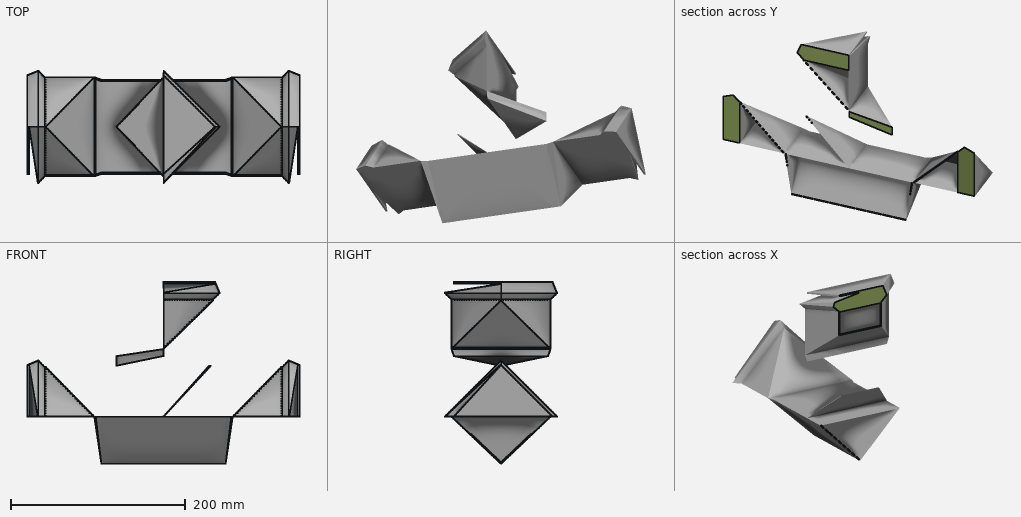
import cadquery as cq
import math

run_half_length = 156.0
socket_height = 56.8
bead_height = 64.3
mouth_height = 59.0
trough_height = 54.0

socket_wall = 2.2
trough_wall = 2.0
skin = 0.3

wedge_start = 79.2
wedge_end = 134.8
bead_start = 136.0
bead_peak = 143.2
lip_thickness = 2.2
lip_back = run_half_length - lip_thickness
gap_depth_at_edge = 10.0

trough_half_length = 71.0
taper_length = wedge_start - trough_half_length
branch_top = 154.0
branch_drop = run_half_length - branch_top
stub_top = wedge_start - branch_drop
stub_crease = stub_top - taper_length
tip_height = 58.0
hinge_size = 0.3

tolerance = 3.12e-06


def hull_face(points, a, b, c):
    """Outline of the hull face through a, b and c, or None if they lie inside the hull."""
    normal = (b - a).cross(c - a)
    if normal.Length < tolerance:
        return None
    normal = normal.normalized()
    sides = [(p - a).dot(normal) for p in points]
    if max(sides) > tolerance:
        return None
    outline = [p for p, side in zip(points, sides) if side > -tolerance]
    middle = sum(outline, cq.Vector()) * (1 / len(outline))
    across = (outline[0] - middle).normalized()
    along = normal.cross(across)
    return sorted(outline, key=lambda p: math.atan2((p - middle).dot(along), (p - middle).dot(across)))


def hull(coordinates):
    """Convex solid whose corners are the given points."""
    points = [cq.Vector(*xyz) for xyz in coordinates]
    outlines = {}
    for a in points:
        for b in points:
            for c in points:
                outline = hull_face(points, a, b, c)
                if outline:
                    outlines[frozenset(p.toTuple() for p in outline)] = outline
    faces = [cq.Face.makeFromWires(cq.Wire.makePolygon(o, close=True)) for o in outlines.values()]
    return cq.Solid.makeSolid(cq.Shell.makeShell(faces)).fix()


def section(x, height, base=0.0):
    """Corners of a triangular section across the run, ridge on the +Z side for a positive height."""
    half_width = abs(height)
    return [(x, -half_width, base), (x, half_width, base), (x, 0, base + height)]


def base_edge(x, half_width, z=0.0):
    return [(x, -half_width, z), (x, half_width, z)]


def hinge(z):
    """Thin strip along the Y axis at height z."""
    return cq.Workplane().box(hinge_size, 2 * trough_height, hinge_size).translate((0, 0, z)).val()


def make_wedge(start, height, base=0.0):
    """Prism that rises from an edge on its base to a full triangular section."""
    return hull(base_edge(start, height, base) + section(wedge_end, height, base))


def make_lip_gap():
    """Slot behind the lip, closed at y = 0 and opening toward -Y."""
    reach = 2 * bead_height
    depth = 2 * gap_depth_at_edge
    outline = [(lip_back, 0), (lip_back, -reach), (lip_back - depth, -reach)]
    return cq.Workplane("XY").polyline(outline).close().extrude(2 * bead_height).val()


def make_lip_trim():
    """Waste beyond the sloping -Y edge of the lip, which is narrower than the rim on that side."""
    corners = [(-trough_height, 0), (0, mouth_height), (-bead_height, mouth_height), (-bead_height, 0)]
    return hull([(x, y, z) for x in (lip_back, run_half_length) for y, z in corners])


def make_end_piece():
    """End piece on the +X side: hollow wedge, bead and slotted lip."""
    wedge = make_wedge(wedge_start, socket_height)
    cavity = make_wedge(wedge_start + socket_wall, socket_height - socket_wall, skin)
    collar = hull(section(wedge_end, socket_height) + section(bead_start, socket_height))
    flare = hull(section(bead_start, socket_height) + section(bead_peak, bead_height))
    mouth = hull(section(bead_peak, bead_height) + section(run_half_length, mouth_height))
    mouth = mouth.cut(make_lip_gap()).cut(make_lip_trim())
    return wedge.cut(cavity).fuse(collar, flare, mouth)


def make_trough_shape(half_length, height, tip, tip_width, top=0.0):
    """Upside-down triangular prism whose two ends taper up to an edge level with its top."""
    prism = hull(section(-half_length, -height, top) + section(half_length, -height, top))
    tapers = [
        hull(section(side * half_length, -height, top) + base_edge(side * tip, tip_width, top))
        for side in (-1, 1)
    ]
    return prism.fuse(*tapers)


def make_trough():
    """Hollow middle of the run, with the sloping web that stands on it."""
    outside = make_trough_shape(trough_half_length, trough_height, wedge_start, socket_height)
    cavity = make_trough_shape(
        trough_half_length,
        trough_height - trough_wall,
        wedge_start - trough_wall,
        socket_height - socket_wall,
        -skin,
    )
    web_tip = [(trough_height - trough_wall, 0, tip_height), (trough_height, 0, tip_height)]
    web = hull(base_edge(0, trough_height) + web_tip)
    return outside.cut(cavity).fuse(web, hinge(0))


def make_branch(end_piece):
    """Upright end piece with the pointed stub that hangs from its lower edge."""
    upright = end_piece.rotate(cq.Vector(), cq.Vector(0, 1, 0), -90).mirror("YZ")
    upright = upright.translate(cq.Vector(0, 0, -branch_drop))
    crease = base_edge(0, trough_height, stub_crease) + [(-trough_height, 0, stub_crease)]
    stub_upper = hull(base_edge(0, socket_height, stub_top) + crease)
    stub_lower = hull(crease + [(-trough_height, 0, tip_height)])
    return upright.fuse(stub_upper, stub_lower, hinge(stub_top))


end_piece = make_end_piece()
run_ends = [end_piece, end_piece.mirror("YZ")]
trough = make_trough()
branch = make_branch(end_piece)

bodies = [*run_ends, trough, branch]
result = cq.Compound.makeCompound([solid for body in bodies for solid in body.Solids()])